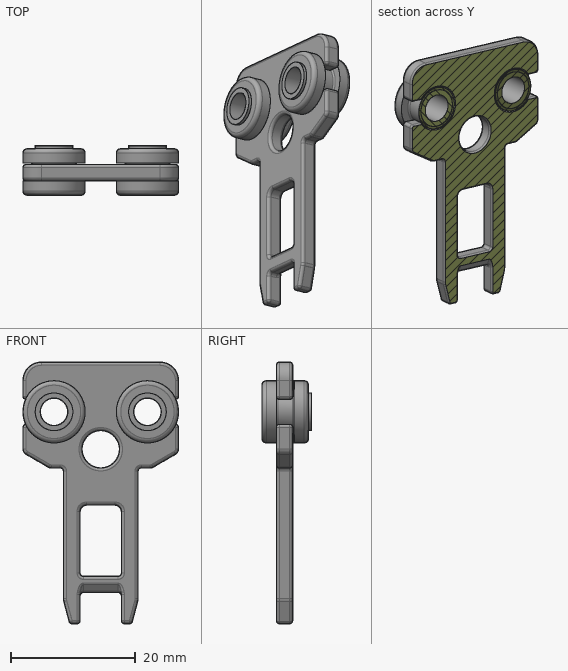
import cadquery as cq
import math

overall_height = 42.0
overall_width = 25.0
overall_depth = 8.0

plate_thickness = 2.65
edge_round = 0.5
small_corner = 0.5
top_corner = 3.0
head_bottom_drop = 17.0
head_bevel_run = 4.33
head_bevel_angle = 30.0
head_bevel_corner = 1.0
stem_width = 12.0
taper_angle = 15.0
taper_start_drop = 38.18
taper_corner = 2.0
centre_hole_radius = 3.0
centre_hole_drop = 14.0

window_width = 6.6
window_top_drop = 22.97
window_bottom_drop = 34.35
window_top_corner = 1.0
fork_front_drop = 35.6
fork_roof_drop = 37.0
fork_bevel_angle = 60.0

flange_radius = 5.0
flange_round = 0.7
shaft_radius = 3.5
shaft_fillet = 0.25
back_gap = 0.2
sleeve_radius = 3.02
sleeve_bore_radius = 2.2
sleeve_projection = 0.5
roller_drop = 8.0
neck_width = 4.0

sides = (-1, 1)
half_width = overall_width / 2
half_stem = stem_width / 2
half_window = window_width / 2
half_plate = plate_thickness / 2
head_side_drop = head_bottom_drop - head_bevel_run * math.tan(math.radians(head_bevel_angle))
tip_inset = (overall_height - taper_start_drop) * math.tan(math.radians(taper_angle))
roller_offset = half_width - flange_radius
groove_width = plate_thickness + back_gap
flange_thickness = (overall_depth - sleeve_projection - groove_width) / 2
front_y = -half_plate - flange_thickness
grommet_length = 2 * flange_thickness + groove_width


def cylinder(radius, length, x, start_y, z):
    """Cylinder along +Y that starts at start_y."""
    return cq.Workplane(cq.Solid.makeCylinder(radius, length, cq.Vector(x, start_y, z), cq.Vector(0, 1, 0)))


def corner_edges(plate, right_points):
    """Edges through the plate thickness at the given (x, z) points and their mirror images."""
    through_edges = plate.edges("|Y")
    picked = []
    for x, z in right_points:
        for side in sides:
            nearest = cq.selectors.NearestToPointSelector((side * x, 0, z))
            picked += through_edges.edges(nearest).vals()
    return plate.newObject(picked)


def plate_blank():
    """T-shaped plate with a tapered stem end and its large outline corners rounded."""
    head_corner = (half_width, -head_side_drop)
    bevel_foot = (half_width - head_bevel_run, -head_bottom_drop)
    taper_start = (half_stem, -taper_start_drop)
    right_side = [
        (half_width, 0),
        head_corner,
        bevel_foot,
        (half_stem, -head_bottom_drop),
        taper_start,
        (half_stem - tip_inset, -overall_height),
    ]
    left_side = [(-x, z) for x, z in reversed(right_side)]
    blank = cq.Workplane("XZ").polyline(right_side + left_side).close().extrude(half_plate, both=True)
    blank = blank.edges("|Y and >Z").fillet(top_corner)
    blank = corner_edges(blank, [head_corner, bevel_foot]).fillet(head_bevel_corner)
    return corner_edges(blank, [taper_start]).fillet(taper_corner)


def window_cutter():
    """Opening in the stem, with larger corners at the top."""
    height = window_bottom_drop - window_top_drop
    middle_z = -(window_bottom_drop + window_top_drop) / 2
    cutter = cq.Workplane("XY").box(window_width, plate_thickness, height).translate((0, 0, middle_z))
    cutter = cutter.edges("|Y and >Z").fillet(window_top_corner)
    return cutter.edges("|Y and <Z").fillet(small_corner)


def fork_cutter():
    """Gap between the two prongs; its roof is bevelled towards the front face."""
    bevel_depth = (fork_roof_drop - fork_front_drop) / math.tan(math.radians(fork_bevel_angle))
    profile = [
        (-half_plate, -overall_height),
        (-half_plate, -fork_front_drop),
        (bevel_depth - half_plate, -fork_roof_drop),
        (half_plate, -fork_roof_drop),
        (half_plate, -overall_height),
    ]
    cutter = cq.Workplane("YZ").polyline(profile).close().extrude(half_window, both=True)
    bevel_foot = cq.selectors.NearestToPointSelector((0, bevel_depth - half_plate, -fork_roof_drop))
    cutter = cutter.edges(bevel_foot).fillet(edge_round)
    roof_sides = cutter.faces("<X or >X").edges("not (|Z or <Z)")
    return roof_sides.fillet(small_corner)


def roller_seat(side):
    """Round seat for a grommet shaft with a neck that opens to the plate edge."""
    x = side * roller_offset
    seat = cylinder(shaft_radius, plate_thickness, x, -half_plate, -roller_drop)
    neck_length = half_width - roller_offset
    neck = cq.Workplane("XY").box(neck_length, plate_thickness, neck_width)
    return seat.union(neck.translate((x + side * neck_length / 2, 0, -roller_drop)))


def make_plate():
    """Plate with its openings; face edges and the remaining sharp corners are rounded together."""
    plate = plate_blank().cut(window_cutter()).cut(fork_cutter())
    plate = plate.cut(cylinder(centre_hole_radius, plate_thickness, 0, -half_plate, -centre_hole_drop))
    for side in sides:
        plate = plate.cut(roller_seat(side))
    sharp_corners = [
        (half_width, neck_width / 2 - roller_drop),
        (half_width, -neck_width / 2 - roller_drop),
        (half_stem, -head_bottom_drop),
        (half_stem - tip_inset, -overall_height),
        (half_window, -overall_height),
    ]
    face_edges = plate.faces("<Y or >Y").edges()
    return face_edges.add(corner_edges(plate, sharp_corners)).fillet(edge_round)


def make_grommet(side):
    """Flanged bush whose shaft sits in the plate; the front flange rests on the plate."""
    x = side * roller_offset
    front = cylinder(flange_radius, flange_thickness, x, front_y, -roller_drop)
    back = cylinder(flange_radius, flange_thickness, x, half_plate + back_gap, -roller_drop)
    shaft = cylinder(shaft_radius, groove_width, x, -half_plate, -roller_drop)
    grommet = front.union(shaft).union(back)
    grommet = grommet.edges(cq.selectors.RadiusNthSelector(0)).fillet(shaft_fillet)
    grommet = grommet.faces("<Y or >Y").edges().fillet(flange_round)
    return grommet.cut(cylinder(sleeve_radius, grommet_length, x, front_y, -roller_drop))


def make_sleeve(side):
    """Tube through the grommet, flush at the front and projecting at the back."""
    x = side * roller_offset
    sleeve = cylinder(sleeve_radius, overall_depth, x, front_y, -roller_drop)
    return sleeve.cut(cylinder(sleeve_bore_radius, overall_depth, x, front_y, -roller_drop))


plate = make_plate()
grommets = [make_grommet(side) for side in sides]
sleeves = [make_sleeve(side) for side in sides]

result = cq.Compound.makeCompound(
    [plate.val()]
    + [grommet.val() for grommet in grommets]
    + [sleeve.val() for sleeve in sleeves]
)